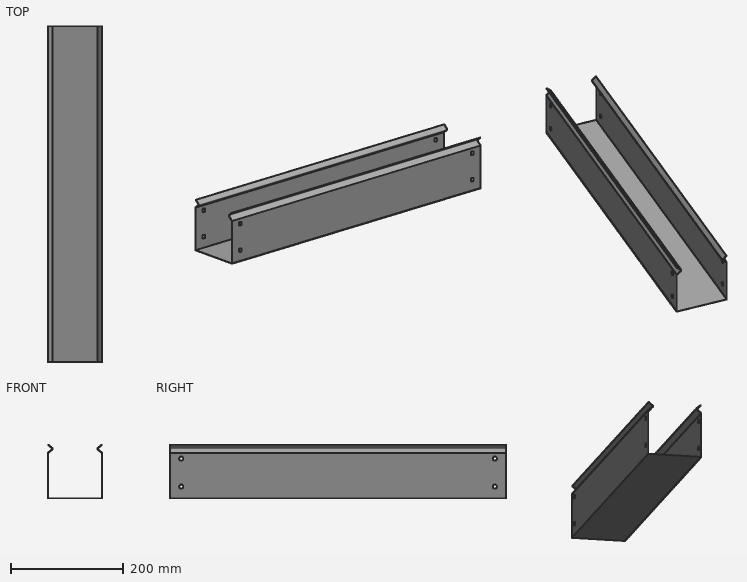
import cadquery as cq
import math

WIDTH = 97.74
LENGTH = 600.0
HEIGHT = 96.25

THICKNESS = 0.75

LIP_ANGLE = math.radians(50)
LIP_BASE_HEIGHT = 81.25
LIP_ROOT_HEIGHT = 88.75
LIP_ROOT_RADIUS = 0.5

HOLE_DIAMETER = 7.0
HOLE_END_DISTANCE = 20.0
HOLE_HEIGHTS = (21.25, 71.25)


def half_solid():
    """Right half of the folded sheet, from the centre plane outward."""
    wall_x = WIDTH / 2
    inner_wall_x = wall_x - THICKNESS
    normal_x = -math.cos(LIP_ANGLE)
    normal_z = math.sin(LIP_ANGLE)
    slope = math.tan(LIP_ANGLE)
    miter = THICKNESS * math.tan(LIP_ANGLE / 2)

    crease_x = wall_x - (LIP_ROOT_HEIGHT - LIP_BASE_HEIGHT) * slope
    bend_x = crease_x + LIP_ROOT_RADIUS / math.cos(LIP_ANGLE)
    inside_radius = LIP_ROOT_RADIUS + THICKNESS

    def bend_point(radius, side):
        """Point on a bend arc: side is 1 on the upper leg, 0 at mid-bend and -1 on the lower leg."""
        if side == 0:
            return (bend_x - radius, LIP_ROOT_HEIGHT)
        return (bend_x + radius * normal_x, LIP_ROOT_HEIGHT + side * radius * normal_z)

    edge_z = HEIGHT - THICKNESS * normal_z
    edge_x = crease_x + (edge_z - LIP_ROOT_HEIGHT) * slope
    return (
        cq.Workplane("XZ", origin=(0, LENGTH / 2, 0))
        .lineTo(wall_x, 0)
        .lineTo(wall_x, LIP_BASE_HEIGHT)
        .lineTo(*bend_point(LIP_ROOT_RADIUS, -1))
        .threePointArc(bend_point(LIP_ROOT_RADIUS, 0), bend_point(LIP_ROOT_RADIUS, 1))
        .lineTo(edge_x, edge_z)
        .lineTo(edge_x + THICKNESS * normal_x, HEIGHT)
        .lineTo(*bend_point(inside_radius, 1))
        .threePointArc(bend_point(inside_radius, 0), bend_point(inside_radius, -1))
        .lineTo(inner_wall_x, LIP_BASE_HEIGHT - miter)
        .lineTo(inner_wall_x, THICKNESS)
        .lineTo(0, THICKNESS)
        .close()
        .extrude(LENGTH)
    )


def channel():
    """Folded channel, mirrored about the centre plane."""
    half = half_solid()
    return half.union(half.mirror("YZ")).clean()


def wall_holes():
    """Cylinders crossing both walls near each end."""
    hole_y = LENGTH / 2 - HOLE_END_DISTANCE
    centres = [(y, z) for y in (-hole_y, hole_y) for z in HOLE_HEIGHTS]
    return (
        cq.Workplane("YZ", origin=(-WIDTH / 2, 0, 0))
        .pushPoints(centres)
        .circle(HOLE_DIAMETER / 2)
        .extrude(WIDTH)
    )


result = channel().cut(wall_holes()).solids()